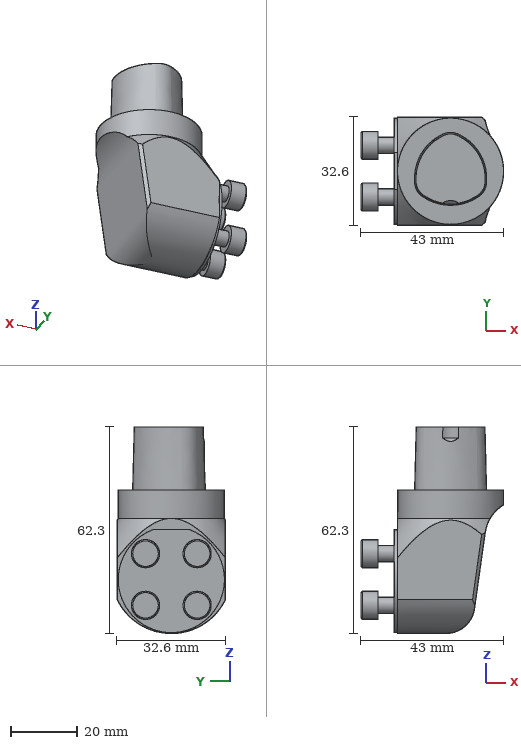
import cadquery as cq
import math


FLANGE_RADIUS = 16.0
FLANGE_THICKNESS = 8.6
RIM_HEIGHT = 4.5
BODY_HALF_WIDTH = 16.3
BODY_BOTTOM = -43.3
BODY_BOTTOM_RADIUS = 18.1
CONE_HALF_ANGLE = 30.0

WALL_TOP = (10.45, -12.9)
WALL_LEAN = 8.0
HEEL_RADIUS = 8.8
WALL_CHAMFER = 1.0

SHANK_HEIGHT = 19.0
SHANK_WIDTH = 22.0
LOBE_RADIUS = 5.4
LOBE_CENTER_DISTANCE = 6.3
LOBE_ANGLES = (90, 210, 330)
LOBE_HALF_SPAN = 30
VALLEY_OFFSET = 60
SHANK_TAPER = math.degrees(math.atan(0.025))

NOTCH_RADIUS = 3.75
NOTCH_CENTER_Y = -12.57
NOTCH_DEPTH = 3.3

PLATE_RADIUS = 16.0
PLATE_THICKNESS = 1.0
PLATE_CENTER_Z = -27.0
PLATE_FLAT_OFFSET = 15.0
SCREW_SPACING = 15.56
SHAFT_DIAMETER = 5.0
SHAFT_LENGTH = 4.8
HEAD_DIAMETER = 8.5
HEAD_LENGTH = 5.2
HEAD_CHAMFER = 0.4

MOUNT_X = -FLANGE_RADIUS
PLATE_X = MOUNT_X - PLATE_THICKNESS


def polar(distance, angle, center=(0.0, 0.0)):
    """Point at a distance and an angle in degrees from a center."""
    turn = math.radians(angle)
    return (center[0] + distance * math.cos(turn), center[1] + distance * math.sin(turn))


def make_side_block():
    """Side outline with the relief curve under the rim, the leaning wall and the rounded heel."""
    lean = math.radians(WALL_LEAN)
    wall_foot = (WALL_TOP[0] + (BODY_BOTTOM - WALL_TOP[1]) * math.tan(lean), BODY_BOTTOM)
    block = (
        cq.Workplane("XZ")
        .moveTo(MOUNT_X, 0)
        .lineTo(MOUNT_X, BODY_BOTTOM)
        .lineTo(*wall_foot)
        .lineTo(*WALL_TOP)
        .tangentArcPoint((FLANGE_RADIUS, -RIM_HEIGHT), relative=False)
        .lineTo(FLANGE_RADIUS, 0)
        .close()
        .extrude(BODY_HALF_WIDTH, both=True)
    )
    wall_middle = (WALL_TOP[0] + wall_foot[0]) / 2, (WALL_TOP[1] + wall_foot[1]) / 2
    for side in (-1, 1):
        edge_point = (wall_middle[0], side * BODY_HALF_WIDTH, wall_middle[1])
        block = block.edges(cq.selectors.NearestToPointSelector(edge_point)).chamfer(WALL_CHAMFER)
    heel_point = (wall_foot[0], 0, BODY_BOTTOM)
    return block.edges(cq.selectors.NearestToPointSelector(heel_point)).fillet(HEEL_RADIUS)


def make_flange_envelope():
    """Flange cylinder with a cone that flares from it down to the bottom of the body."""
    flare_height = -FLANGE_THICKNESS - BODY_BOTTOM
    flare_radius = FLANGE_RADIUS + flare_height * math.tan(math.radians(CONE_HALF_ANGLE))
    return (
        cq.Workplane("XZ")
        .polyline([
            (0, 0),
            (FLANGE_RADIUS, 0),
            (FLANGE_RADIUS, -FLANGE_THICKNESS),
            (flare_radius, BODY_BOTTOM),
            (0, BODY_BOTTOM),
        ])
        .close()
        .revolve(360, (0, 0, 0), (0, 1, 0))
    )


def make_end_envelope():
    """Flat-sided outline with a round bottom, run along X."""
    center_z = BODY_BOTTOM + BODY_BOTTOM_RADIUS
    flat_end = center_z - math.sqrt(BODY_BOTTOM_RADIUS**2 - BODY_HALF_WIDTH**2)
    return (
        cq.Workplane("YZ", origin=(MOUNT_X, 0, 0))
        .moveTo(-BODY_HALF_WIDTH, 0)
        .lineTo(-BODY_HALF_WIDTH, flat_end)
        .threePointArc((0, BODY_BOTTOM), (BODY_HALF_WIDTH, flat_end))
        .lineTo(BODY_HALF_WIDTH, 0)
        .close()
        .extrude(2 * FLANGE_RADIUS)
    )


def make_shank():
    """Tapered three-lobed shank standing on the flange."""
    lobes = []
    for angle in LOBE_ANGLES:
        center = polar(LOBE_CENTER_DISTANCE, angle)
        start = polar(LOBE_RADIUS, angle - LOBE_HALF_SPAN, center)
        peak = polar(LOBE_RADIUS, angle, center)
        end = polar(LOBE_RADIUS, angle + LOBE_HALF_SPAN, center)
        lobes.append((start, peak, end))

    valley_distance = SHANK_WIDTH - LOBE_RADIUS - LOBE_CENTER_DISTANCE
    outline = cq.Workplane("XY").moveTo(*lobes[0][0])
    for index, (_, peak, end) in enumerate(lobes):
        next_start = lobes[(index + 1) % len(lobes)][0]
        valley = polar(valley_distance, LOBE_ANGLES[index] + VALLEY_OFFSET)
        outline = outline.threePointArc(peak, end).threePointArc(valley, next_start)
    return outline.close().extrude(SHANK_HEIGHT, taper=SHANK_TAPER)


def make_notch():
    """Round cutter with a 45 degree point, set partly outside the shank."""
    shoulder = SHANK_HEIGHT - NOTCH_DEPTH
    return (
        cq.Workplane("XZ", origin=(0, NOTCH_CENTER_Y, 0))
        .polyline([
            (0, SHANK_HEIGHT),
            (NOTCH_RADIUS, SHANK_HEIGHT),
            (NOTCH_RADIUS, shoulder),
            (0, shoulder - NOTCH_RADIUS),
        ])
        .close()
        .revolve(360, (0, 0, 0), (0, 1, 0))
    )


def make_plate():
    """Round mounting plate with a flat on its upper side."""
    flat_half = math.sqrt(PLATE_RADIUS**2 - PLATE_FLAT_OFFSET**2)
    return (
        cq.Workplane("YZ", origin=(MOUNT_X, 0, PLATE_CENTER_Z))
        .moveTo(-flat_half, PLATE_FLAT_OFFSET)
        .threePointArc((0, -PLATE_RADIUS), (flat_half, PLATE_FLAT_OFFSET))
        .close()
        .extrude(-PLATE_THICKNESS)
    )


def make_screws():
    """Four screws in a square, heads standing off the plate."""
    plate_face = cq.Workplane("YZ", origin=(PLATE_X, 0, PLATE_CENTER_Z))
    shafts = (
        plate_face.rarray(SCREW_SPACING, SCREW_SPACING, 2, 2)
        .circle(SHAFT_DIAMETER / 2)
        .extrude(-SHAFT_LENGTH)
    )
    heads = (
        plate_face.workplane(offset=-SHAFT_LENGTH)
        .rarray(SCREW_SPACING, SCREW_SPACING, 2, 2)
        .circle(HEAD_DIAMETER / 2)
        .extrude(-HEAD_LENGTH)
        .faces("<X")
        .edges()
        .chamfer(HEAD_CHAMFER)
    )
    return shafts.union(heads)


body = make_side_block().intersect(make_flange_envelope()).intersect(make_end_envelope())
shank = make_shank().cut(make_notch())
result = body.union(shank).union(make_plate()).union(make_screws())